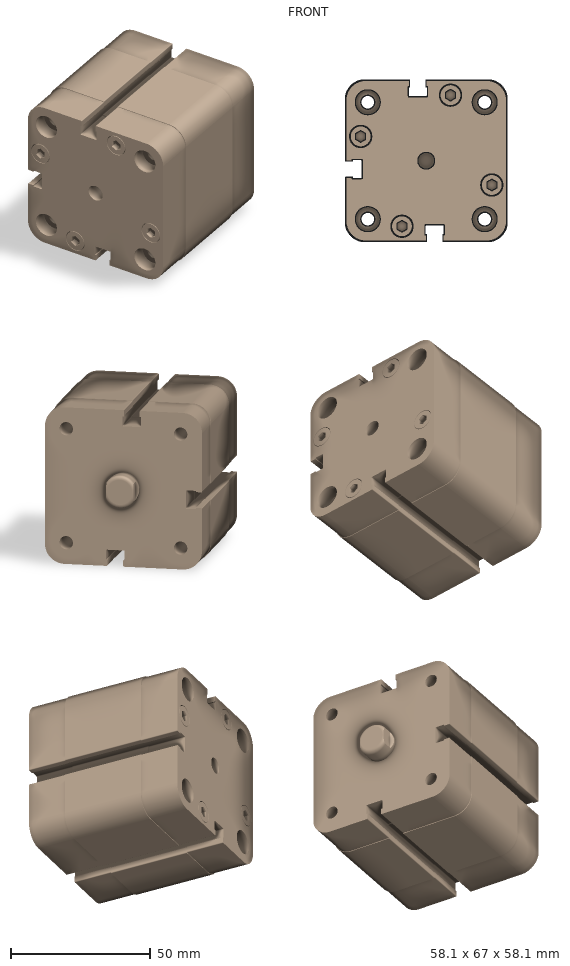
import cadquery as cq
import math

total_length = 67.0
tube_side = 58.1
cap_side = 57.6
corner_radius = 7.1
cap_length = 14.75
rod_projection = 6.6
body_length = total_length - rod_projection
tube_length = body_length - 2 * cap_length

slot_offset = 3.0
slot_mouth_width = 5.8
slot_channel_width = 6.8
slot_lip_depth = 2.3
slot_depth = 5.95
slot_edge_radius = 0.3
slot_count = 3
quarter_turn = 90

mount_spacing = 41.95
mount_hole_diameter = 4.9
mount_counterbore_diameter = 9.0
mount_counterbore_depth = 5.55

screw_near = 8.7
screw_far = 23.5
screw_pocket_diameter = 8.0
screw_head_diameter = 7.5
screw_gap_depth = 4.0
socket_across_flats = 3.6
socket_depth = 2.5
socket_sides = 6
socket_turn = 180 / socket_sides

center_hole_diameter = 6.0
center_hole_depth = 6.0

rod_diameter = 12.0
rod_flat_width = 10.0
rod_flat_length = 4.6
tip_radius = 1.4


def front_plane(y):
    """Workplane at a given Y, with local axes along X and Z; negative extrusion runs toward +Y."""
    return cq.Workplane("XZ", origin=(0, y, 0))


def turn(shape, angle):
    """Turn a shape about the cylinder axis."""
    return shape.rotate((0, 0, 0), (0, 1, 0), angle)


def slot_cutter(side, y, length):
    """T-shaped slot in the top face of a block, with its depths measured from that face."""
    surface = side / 2
    mouth = (
        front_plane(y)
        .center(-slot_offset, surface - slot_depth / 2)
        .rect(slot_mouth_width, slot_depth)
        .extrude(-length)
    )
    channel_height = slot_depth - slot_lip_depth
    channel = (
        front_plane(y)
        .center(-slot_offset, surface - slot_depth + channel_height / 2)
        .rect(slot_channel_width, channel_height)
        .extrude(-length)
    )
    return mouth.union(channel)


def slot_edges(side, y, length, depth):
    """Selector for the lengthwise slot edges that lie at one depth below the top face."""
    margin = slot_edge_radius
    height = side / 2 - depth
    return cq.selectors.BoxSelector(
        (-slot_offset - slot_channel_width, y - margin, height - margin),
        (-slot_offset + slot_channel_width, y + length + margin, height + margin),
    )


def slotted_block(side, y, length):
    """Rounded square block with a slot on three of its sides."""
    block = front_plane(y).rect(side, side).extrude(-length).edges("|Y").fillet(corner_radius)
    cutter = slot_cutter(side, y, length)
    mouth_edges = slot_edges(side, y, length, 0)
    floor_edges = slot_edges(side, y, length, slot_depth)

    for _ in range(slot_count):
        block = block.cut(cutter)
        block = block.edges("|Y").edges(mouth_edges + floor_edges).fillet(slot_edge_radius)
        block = turn(block, quarter_turn)
    return turn(block, quarter_turn)


def mount_cutter(x_sign, z_sign):
    """Through hole with a counterbore in the front face."""
    x = x_sign * mount_spacing / 2
    z = z_sign * mount_spacing / 2
    counterbore = front_plane(0).circle(mount_counterbore_diameter / 2).extrude(-mount_counterbore_depth)
    through = front_plane(0).circle(mount_hole_diameter / 2).extrude(-body_length)
    return through.union(counterbore).translate((x, 0, z))


def screw_cutter():
    """Clearance ring around a screw head, plus its hexagonal socket."""
    ring = (
        front_plane(0)
        .circle(screw_pocket_diameter / 2)
        .circle(screw_head_diameter / 2)
        .extrude(-screw_gap_depth)
    )
    socket_across_corners = socket_across_flats / math.cos(math.pi / socket_sides)
    socket = front_plane(0).polygon(socket_sides, socket_across_corners).extrude(-socket_depth)
    return ring.union(turn(socket, socket_turn))


def piston_rod():
    """Rod seated on the rear face, with flats on its two X sides."""
    radius = rod_diameter / 2
    half_flat = rod_flat_width / 2
    tip = total_length
    rod = (
        cq.Workplane("XY")
        .moveTo(0, body_length)
        .lineTo(radius, body_length)
        .lineTo(radius, tip - tip_radius)
        .radiusArc((radius - tip_radius, tip), -tip_radius)
        .lineTo(0, tip)
        .close()
        .revolve(360, (0, 0, 0), (0, 1, 0))
    )
    flat_start = tip - rod_flat_length
    flat_cut_depth = radius - half_flat
    for hand in (-1, 1):
        flat = (
            cq.Workplane("XY")
            .polyline([
                (hand * half_flat, tip),
                (hand * half_flat, flat_start),
                (hand * radius, flat_start - flat_cut_depth),
                (hand * radius, tip),
            ])
            .close()
            .extrude(radius, both=True)
        )
        rod = rod.cut(flat)
    return rod


front_cap = slotted_block(cap_side, 0, cap_length)
tube = slotted_block(tube_side, cap_length, tube_length)
rear_cap = slotted_block(cap_side, cap_length + tube_length, cap_length)
result = front_cap.union(tube).union(rear_cap).union(piston_rod())

for x_sign in (-1, 1):
    for z_sign in (-1, 1):
        result = result.cut(mount_cutter(x_sign, z_sign))

screw = screw_cutter()
screw_positions = (
    (screw_near, screw_far),
    (screw_far, -screw_near),
    (-screw_near, -screw_far),
    (-screw_far, screw_near),
)
for x, z in screw_positions:
    result = result.cut(screw.translate((x, 0, z)))

center_hole = front_plane(0).circle(center_hole_diameter / 2).extrude(-center_hole_depth)
result = result.cut(center_hole)